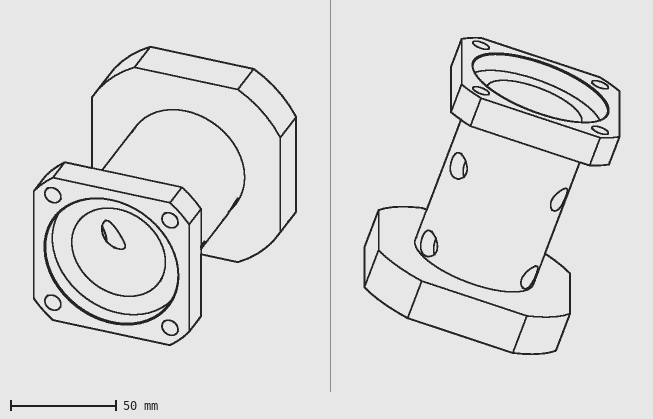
import cadquery as cq

length = 114.0
tube_diameter = 60.0
bore_diameter = 48.0

large_flange_width = 96.5
large_flange_corner_diameter = 110.0
large_flange_thickness = 20.1

small_flange_width = 79.6
small_flange_corner_diameter = 99.6
small_flange_thickness = 15.0

recess_diameter = 68.0
recess_depth = 9.0
recess_chamfer = 0.5

bolt_hole_diameter = 8.2
bolt_hole_spacing = 60.0

cross_hole_diameter = 12.0
cross_hole_height = -15.0
cross_hole_near_y = 45.0
cross_hole_pitch = 42.0


def plane_at(y):
    """Plane across the tube axis at y, with its normal pointing along +Y."""
    return cq.Plane(origin=(0, y, 0), xDir=(1, 0, 0), normal=(0, 1, 0))


def disc(diameter, y, depth):
    return cq.Workplane(plane_at(y)).circle(diameter / 2).extrude(depth)


def flange(width, corner_diameter, thickness, y):
    """Square plate whose corners are rounded off by a circle about the axis."""
    plate = cq.Workplane(plane_at(y)).rect(width, width).extrude(thickness)
    return plate.intersect(disc(corner_diameter, y, thickness))


def bolt_holes():
    return (
        cq.Workplane(plane_at(0))
        .rect(bolt_hole_spacing, bolt_hole_spacing, forConstruction=True)
        .vertices()
        .circle(bolt_hole_diameter / 2)
        .extrude(small_flange_thickness)
    )


def recess():
    """Round seat in the small flange, with a narrow chamfer at its mouth."""
    mouth_radius = recess_diameter / 2 + recess_chamfer
    mouth = cq.Solid.makeCone(
        mouth_radius, recess_diameter / 2, recess_chamfer, cq.Vector(0, 0, 0), cq.Vector(0, 1, 0)
    )
    return disc(recess_diameter, 0, recess_depth).union(cq.Workplane(mouth))


def cross_holes():
    """Pair of holes along X through both walls of the tube, below its axis."""
    centers = [
        (cross_hole_near_y, cross_hole_height),
        (cross_hole_near_y + cross_hole_pitch, cross_hole_height),
    ]
    return (
        cq.Workplane("YZ")
        .pushPoints(centers)
        .circle(cross_hole_diameter / 2)
        .extrude(tube_diameter, both=True)
    )


small_flange = flange(small_flange_width, small_flange_corner_diameter, small_flange_thickness, 0)
large_flange = flange(
    large_flange_width,
    large_flange_corner_diameter,
    large_flange_thickness,
    length - large_flange_thickness,
)

result = disc(tube_diameter, 0, length).union(small_flange).union(large_flange)
result = result.cut(disc(bore_diameter, 0, length))
result = result.cut(recess()).cut(bolt_holes()).cut(cross_holes())